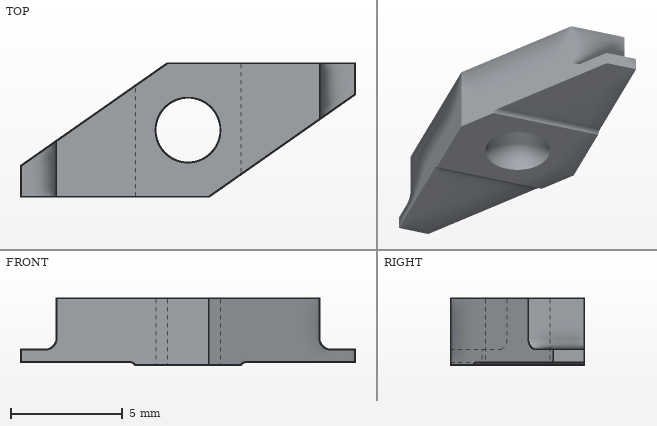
import cadquery as cq
import math

length = 15.0
width = 6.0
thickness = 3.0
end_width = 1.4
flank_angle = 35.0

hole_diameter = 2.9

block_length = 11.8
tip_top = 0.7
tip_bottom = 0.13
fillet_radius = 0.5

pad_length = 4.75
pad_fillet_radius = 0.3


def rhomboid_blank():
    """Six-sided plate, symmetric under a half turn about Z."""
    half_x = length / 2
    half_y = width / 2
    flank_run = (width - end_width) / math.tan(math.radians(flank_angle))
    return (
        cq.Workplane("XY")
        .moveTo(-half_x, -half_y)
        .lineTo(half_x - flank_run, -half_y)
        .lineTo(half_x, half_y - end_width)
        .lineTo(half_x, half_y)
        .lineTo(flank_run - half_x, half_y)
        .lineTo(-half_x, end_width - half_y)
        .close()
        .extrude(thickness)
    )


def side_profile():
    """XZ outline with thin filleted tips and a raised pad below, run across the full width."""
    half_x = length / 2
    half_block = block_length / 2
    half_pad = pad_length / 2
    pad_side_run = math.sqrt(pad_fillet_radius**2 - (pad_fillet_radius - tip_bottom) ** 2)
    return (
        cq.Workplane("XZ")
        .moveTo(0, 0)
        .lineTo(half_pad, 0)
        .radiusArc((half_pad + pad_side_run, tip_bottom), pad_fillet_radius)
        .lineTo(half_x, tip_bottom)
        .lineTo(half_x, tip_top)
        .lineTo(half_block + fillet_radius, tip_top)
        .radiusArc((half_block, tip_top + fillet_radius), fillet_radius)
        .lineTo(half_block, thickness)
        .lineTo(0, thickness)
        .mirrorY()
        .extrude(width / 2, both=True)
    )


def clamping_hole():
    return cq.Workplane("XY").circle(hole_diameter / 2).extrude(thickness)


result = rhomboid_blank().intersect(side_profile()).cut(clamping_hole())